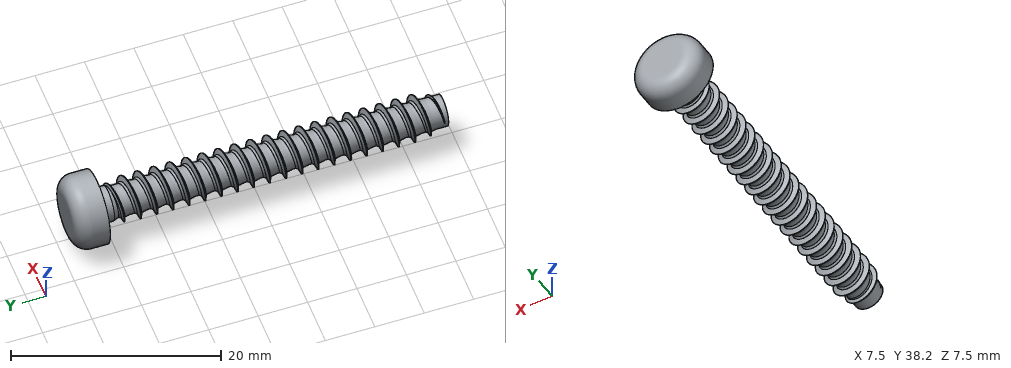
import cadquery as cq
import math


overall_length = 38.2
head_height = 3.2
head_radius = 3.75
dome_radius = 1.53
shank_length = overall_length - head_height

neck_radius = 1.775
neck_fillet = 0.6
neck_end = 1.1
core_radius = 1.585
core_start = 1.6

thread_radius = 2.25
thread_pitch = 1.63
thread_start = 0.35
thread_turns = 21
crest_half_width = 0.05
shoulder_radius = 1.7
shoulder_half_width = 0.23
head_side_foot = 0.55
tip_side_foot = 1.07
base_depth = 0.05
base_radius = core_radius - base_depth

lead_in_start = 0.75
lead_in_end = 2.67
run_out_start = 32.55
run_out_end = 34.65
end_narrowing = 0.75

samples_per_turn = 12


def make_body():
    """Head, filleted neck and plain core as one revolved outline."""
    fillet_outer = neck_radius + neck_fillet
    return (
        cq.Workplane("XZ")
        .moveTo(0, -head_height)
        .lineTo(head_radius - dome_radius, -head_height)
        .radiusArc((head_radius, dome_radius - head_height), -dome_radius)
        .lineTo(head_radius, 0)
        .lineTo(fillet_outer, 0)
        .radiusArc((neck_radius, neck_fillet), neck_fillet)
        .lineTo(neck_radius, neck_end)
        .lineTo(core_radius, core_start)
        .lineTo(core_radius, shank_length)
        .lineTo(0, shank_length)
        .close()
        .revolve(360, (0, 0, 0), (0, 1, 0))
    )


def height_share(z):
    """Ridge height at z as a share of its full height above the buried base."""
    lead_in_slope = (thread_radius - neck_radius) / (lead_in_end - lead_in_start)
    run_out_slope = (thread_radius - core_radius) / (run_out_end - run_out_start)
    crest_drop = max(0, lead_in_slope * (lead_in_end - z), run_out_slope * (z - run_out_start))
    return 1 - crest_drop / (thread_radius - base_radius)


def rail_point(radius, offset, turn):
    """Point on the helix traced by one corner of the ridge section."""
    z = thread_start + thread_pitch * turn
    angle = math.pi + 2 * math.pi * turn
    height = height_share(z)
    width = 1 - end_narrowing * (1 - height)
    r = base_radius + (radius - base_radius) * height
    return cq.Vector(r * math.cos(angle), r * math.sin(angle), z + offset * width)


def make_thread():
    """Right-hand helical ridge, skinned turn by turn between its corner helices."""
    section = [
        (base_radius, -head_side_foot),
        (shoulder_radius, -shoulder_half_width),
        (thread_radius, -crest_half_width),
        (thread_radius, crest_half_width),
        (shoulder_radius, shoulder_half_width),
        (base_radius, tip_side_foot),
    ]
    faces = []
    for turn in range(thread_turns):
        steps = [turn + i / samples_per_turn for i in range(samples_per_turn + 1)]
        rails = [
            cq.Edge.makeSpline([rail_point(radius, offset, step) for step in steps])
            for radius, offset in section
        ]
        for rail, next_rail in zip(rails, rails[1:] + rails[:1]):
            faces.append(cq.Face.makeRuledSurface(rail, next_rail))
    for turn in (0, thread_turns):
        corners = [rail_point(radius, offset, turn) for radius, offset in section]
        faces.append(cq.Face.makeFromWires(cq.Wire.makePolygon(corners, close=True)))
    return cq.Workplane(obj=cq.Solid.makeSolid(cq.Shell.makeShell(faces)))


screw = make_body().union(make_thread())
result = screw.rotate((0, 0, 0), (1, 0, 0), 90)